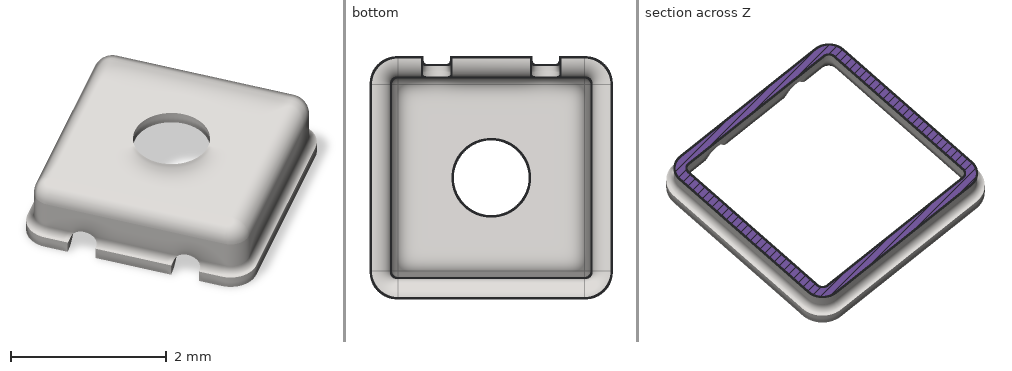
import math

import cadquery as cq

foot_width = 3.1
height = 0.89
sheet = 0.16
foot_overhang = 0.1

crown_outer_radius = 0.25
crown_inner_radius = crown_outer_radius - sheet
flare_outer_radius = foot_overhang
flare_inner_radius = flare_outer_radius + sheet

crown_spring = height - crown_outer_radius
flare_spring = flare_inner_radius

flat_width = foot_width - 2 * (crown_outer_radius + foot_overhang)
flat_half = flat_width / 2

vent_diameter = 0.99

notch_width = 0.38
notch_top = 0.31
notch_spacing = 1.4


def diagonal_point(center_x, center_z, radius, direction):
    """Middle of a quarter bend: direction is +1 up and outward from its center, -1 down and inward."""
    offset = direction * radius / math.sqrt(2)
    return (center_x + offset, center_z + offset)


def wall_section(plane):
    """Section of crown, wall and flared foot; x is measured outward from the edge of the flat top."""
    outer_wall = crown_outer_radius
    inner_wall = crown_inner_radius
    foot_edge = outer_wall + foot_overhang
    crown_outer_middle = diagonal_point(0, crown_spring, crown_outer_radius, 1)
    crown_inner_middle = diagonal_point(0, crown_spring, crown_inner_radius, 1)
    flare_outer_middle = diagonal_point(foot_edge, flare_spring, flare_outer_radius, -1)
    flare_inner_middle = diagonal_point(foot_edge, flare_spring, flare_inner_radius, -1)
    return (
        plane.moveTo(0, height)
        .threePointArc(crown_outer_middle, (outer_wall, crown_spring))
        .lineTo(outer_wall, flare_spring)
        .threePointArc(flare_outer_middle, (foot_edge, sheet))
        .lineTo(foot_edge, 0)
        .threePointArc(flare_inner_middle, (inner_wall, flare_spring))
        .lineTo(inner_wall, crown_spring)
        .threePointArc(crown_inner_middle, (0, height - sheet))
        .close()
    )


def straight_side():
    """Straight run of the +X wall."""
    plane = cq.Workplane("XZ", origin=(flat_half, flat_half, 0))
    return wall_section(plane).extrude(flat_width)


def rounded_corner():
    """Quarter turn of the wall section that joins the +X and +Y walls."""
    plane = cq.Workplane("XZ", origin=(flat_half, flat_half, 0))
    return wall_section(plane).revolve(90, (0, 0), (0, 1))


def flat_top():
    """Square sheet inside the crown bends."""
    plane = cq.Workplane("XY", origin=(0, 0, height - sheet))
    return plane.rect(flat_width, flat_width).extrude(sheet)


def vent():
    """Round opening through the flat top."""
    return cq.Workplane("XY").circle(vent_diameter / 2).extrude(height)


def notch(center_x):
    """Upright slot with a semicircular top, cutting only the -Y wall."""
    radius = notch_width / 2
    spring_height = notch_top - radius
    profile = (
        cq.Workplane("XZ")
        .moveTo(center_x - radius, 0)
        .lineTo(center_x - radius, spring_height)
        .threePointArc((center_x, notch_top), (center_x + radius, spring_height))
        .lineTo(center_x + radius, 0)
        .close()
    )
    return profile.extrude(foot_width)


quadrant = straight_side().union(rounded_corner())
cover = flat_top()
for quarter in range(4):
    cover = cover.union(quadrant.rotate((0, 0, 0), (0, 0, 1), 90 * quarter))

cover = cover.cut(vent())
for side in (-1, 1):
    cover = cover.cut(notch(side * notch_spacing / 2))

result = cover